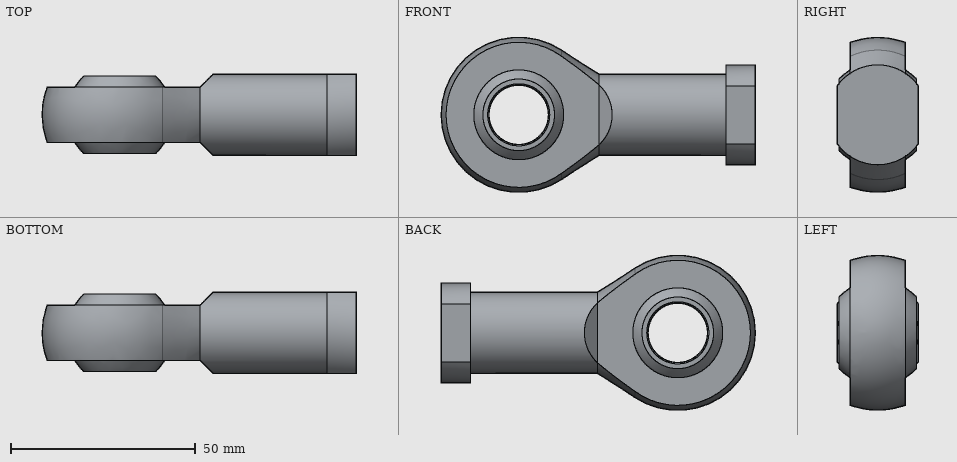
import cadquery as cq
import math

head_radius = 21.0
head_width = 15.0
overall_length = 85.0

ball_diameter = 28.575
ball_width = 21.0
bore_diameter = 16.0
bore_chamfer = 0.4

shank_diameter = 22.0
neck_start_x = 11.6
neck_end_x = 21.75

collar_diameter = 27.0
collar_length = 8.0
collar_across_flats = 22.0

end_x = overall_length - head_radius
collar_start_x = end_x - collar_length
shank_radius = shank_diameter / 2
half_head_width = head_width / 2


def make_body():
    """Spherical head, conical neck and cylindrical shank turned about X."""
    neck_start_radius = math.sqrt(head_radius**2 - neck_start_x**2)
    mid_head = head_radius * math.sqrt(0.5)
    profile = (
        cq.Workplane("XY")
        .moveTo(-head_radius, 0)
        .threePointArc((-mid_head, mid_head), (neck_start_x, neck_start_radius))
        .lineTo(neck_end_x, shank_radius)
        .lineTo(end_x, shank_radius)
        .lineTo(end_x, 0)
        .close()
    )
    return profile.revolve(360, (0, 0, 0), (1, 0, 0))


def cut_head_flats(body):
    """Flatten both sides of the head; each flat runs out at 45 degrees into the shank."""
    runout = head_radius - half_head_width
    for side in (1, -1):
        waste = (
            cq.Workplane("XY")
            .moveTo(-head_radius, side * half_head_width)
            .lineTo(neck_end_x, side * half_head_width)
            .lineTo(neck_end_x + runout, side * head_radius)
            .lineTo(-head_radius, side * head_radius)
            .close()
            .extrude(head_radius, both=True)
        )
        body = body.cut(waste)
    return body


def make_collar():
    """Round collar with two wrench flats facing +Y and -Y."""
    disc = (
        cq.Workplane("YZ", origin=(collar_start_x, 0, 0))
        .circle(collar_diameter / 2)
        .extrude(collar_length)
    )
    flats = cq.Workplane("XY", origin=(end_x, 0, 0)).box(
        2 * collar_length, collar_across_flats, collar_diameter
    )
    return disc.intersect(flats)


def make_ball():
    """Bearing ball truncated to its width along Y."""
    slab = cq.Workplane("XY").box(ball_diameter, ball_width, ball_diameter)
    return cq.Workplane("XY").sphere(ball_diameter / 2).intersect(slab)


def make_bore():
    """Through bore along Y with a chamfered mouth at both ends."""
    bore_radius = bore_diameter / 2
    half_width = ball_width / 2
    profile = (
        cq.Workplane("XY")
        .moveTo(0, -half_width)
        .lineTo(bore_radius + bore_chamfer, -half_width)
        .lineTo(bore_radius, -half_width + bore_chamfer)
        .lineTo(bore_radius, half_width - bore_chamfer)
        .lineTo(bore_radius + bore_chamfer, half_width)
        .lineTo(0, half_width)
        .close()
    )
    return profile.revolve(360, (0, 0, 0), (0, 1, 0))


body = cut_head_flats(make_body())
result = body.union(make_collar()).union(make_ball()).cut(make_bore())